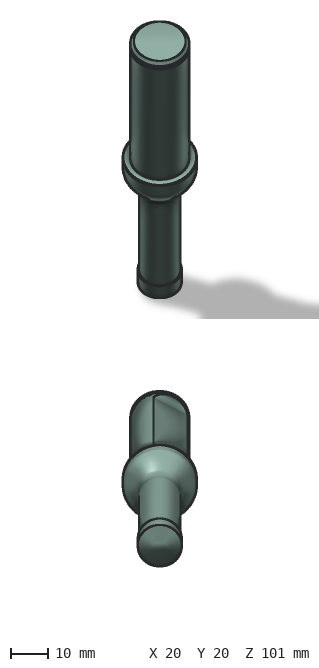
import cadquery as cq
import math

length = 101.0
head_dia = 11.9
head_top = 7.1
point_angle = 140.0
tip_height = head_dia / 2 / math.tan(math.radians(point_angle / 2))

neck_dia = 11.2
neck_top = 40.2
flare_bottom = 42.6
flare_angle = 38.0
shoulder_dia = 18.6
shoulder_z = 46.7
flare_top = 49.2

flange_dia = 20.0
flange_top = 53.2
flange_chamfer = 0.2

shank_dia = 16.0
shank_chamfer = 1.0
groove_width = 1.0
groove_depth = 0.3
groove_top = length - 1.3

flat_depth = 1.9
flat_end_radius = 3.2
flat_bottom = 56.4
flat_top = length - 3.0


def make_head():
    """Drill tip: a short cylinder ending in a downward cone."""
    radius = head_dia / 2
    profile = (
        cq.Workplane("XZ")
        .polyline([(0, 0), (radius, tip_height), (radius, head_top), (0, head_top)])
        .close()
    )
    return profile.revolve(360, (0, 0, 0), (0, 1, 0))


def make_turned_holder():
    """Neck, blend, flange and shank turned about Z."""
    neck_r = neck_dia / 2
    flange_r = flange_dia / 2
    shank_r = shank_dia / 2

    angle = math.radians(flare_angle)
    arc_r = (flare_bottom - neck_top) / math.sin(angle)
    flare_r = neck_r + arc_r * (1 - math.cos(angle))
    mid_r = neck_r + arc_r * (1 - math.cos(angle / 2))
    mid_z = neck_top + arc_r * math.sin(angle / 2)
    flare_direction = (math.sin(angle), math.cos(angle))

    profile = (
        cq.Workplane("XZ")
        .moveTo(0, head_top)
        .lineTo(neck_r, head_top)
        .lineTo(neck_r, neck_top)
        .threePointArc((mid_r, mid_z), (flare_r, flare_bottom))
        .spline(
            [(shoulder_dia / 2, shoulder_z), (flange_r, flare_top)],
            tangents=[flare_direction, (0, 1)],
            includeCurrent=True,
        )
        .lineTo(flange_r, flange_top - flange_chamfer)
        .lineTo(flange_r - flange_chamfer, flange_top)
        .lineTo(shank_r, flange_top)
        .lineTo(shank_r, groove_top - groove_width)
        .lineTo(shank_r - groove_depth, groove_top - groove_width)
        .lineTo(shank_r - groove_depth, groove_top)
        .lineTo(shank_r, groove_top)
        .lineTo(shank_r, length - shank_chamfer)
        .lineTo(shank_r - shank_chamfer, length)
        .lineTo(0, length)
        .close()
    )
    return profile.revolve(360, (0, 0, 0), (0, 1, 0))


def make_flat_cutter():
    """Cutter for the clamping flat, with an arc tangent to the flat at each end."""
    shank_r = shank_dia / 2
    flat_y = shank_r - flat_depth
    turn = math.acos(1 - flat_depth / flat_end_radius)
    run = flat_end_radius * math.sin(turn)
    mid_y = flat_y + flat_end_radius * (1 - math.cos(turn / 2))
    mid_run = run - flat_end_radius * math.sin(turn / 2)

    profile = (
        cq.Workplane("YZ")
        .moveTo(shank_r, flat_bottom)
        .threePointArc((mid_y, flat_bottom + mid_run), (flat_y, flat_bottom + run))
        .lineTo(flat_y, flat_top - run)
        .threePointArc((mid_y, flat_top - mid_run), (shank_r, flat_top))
        .close()
    )
    return profile.extrude(shank_r, both=True)


head = make_head()
holder = make_turned_holder().cut(make_flat_cutter())

result = cq.Compound.makeCompound([head.val(), holder.val()])